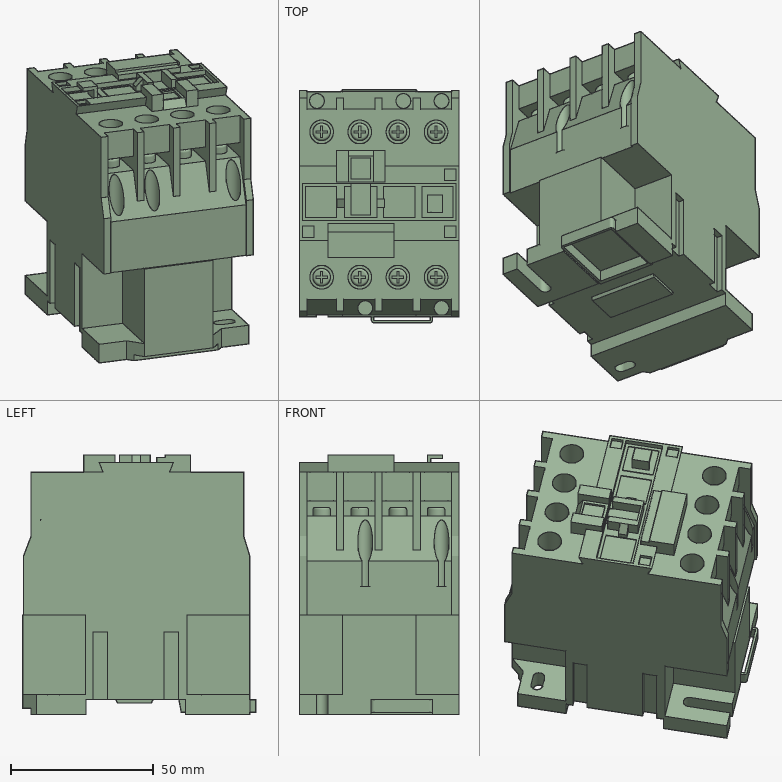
import cadquery as cq


WIDTH = 56.0
DEPTH = 79.7
HEIGHT = 91.0
HALF_WIDTH = WIDTH / 2
HALF_DEPTH = DEPTH / 2

RAIL_SEAT_Z = 5.2
FOOT_TOP_Z = 7.0
BASE_TOP_Z = 34.85
SHOULDER_Z = 85.0
DECK_Z = 88.4

BASE_CORE_HALF_DEPTH = 17.7
BASE_NECK_WIDTH = 25.7
REAR_FOOT_INNER_Y = 17.6
REAR_FOOT_OUTER_Y = 34.9
FRONT_FOOT_INNER_Y = -17.2
TAB_STEP_DEPTH = 2.9
TAB_STEP_HEIGHT = 2.2
MOUNT_SLOT_WIDTH = 4.1
FRONT_SLOT_X = -20.0
FRONT_SLOT_END_Y = -24.8
REAR_SLOT_CENTER = (-21.1, 29.0)
REAR_SLOT_LENGTH = 7.6
SIDE_GROOVE_WIDTH = 5.0
SIDE_GROOVE_DEPTH = 2.0
SIDE_GROOVE_TOP_Z = 28.85
SIDE_GROOVE_YS = (12.65, -12.3)
UNDERSIDE_PAD_Y = 0.6
UNDERSIDE_PAD_LENGTH = 13.1
UNDERSIDE_PAD_HEIGHT = 1.2

SIDE_WALL = 2.6
UPPER_FRONT_Y = -37.8
UPPER_REAR_Y = 36.95
WALL_BEND_UPPER_Z = 62.4
WALL_BEND_LOWER_Z = 55.5
PANEL_RECESS = 0.7
WALL_REAR_Y = 39.6
PANEL_TOP_Z = 53.8
RECESS_FRONT_Y = -33.7
RECESS_REAR_Y = 33.0
RIB_WIDTH = 2.55
RIB_XS = (-13.7, -0.3, 13.2)

TERMINAL_PITCH = 13.4
TERMINAL_FIRST_X = -20.2
FRONT_TERMINAL_Y = -25.9
REAR_TERMINAL_Y = 25.0
ACCESS_HOLE_DIAMETER = 8.3
CAVITY_FLOOR_Z = 69.6
CAVITY_ROOF_Z = 74.9
SCREW_DIAMETER = 6.2
SCREW_HEIGHT = 3.0
SCREW_EDGE_RADIUS = 0.9
DRIVE_LENGTH = 4.0
DRIVE_WIDTH = 0.7
DRIVE_DEPTH = 0.7
GUIDE_DIAMETER = 5.2
GUIDE_BOTTOM_Z = 44.95
GUIDE_SPOTS = ((-4.9, -36.8), (21.8, -36.8), (-21.8, 35.85), (8.5, 35.85), (21.8, 35.85))

DECK_HALF_DEPTH = 13.0
DECK_ROOT_HALF_DEPTH = 11.65
TROUGH_WIDTH = 53.9
TROUGH_FRONT_Y = -6.1
TROUGH_REAR_Y = 7.0
TROUGH_FLOOR_Z = 86.6
PANE_SIZE = 10.9
PANE_DEPTH = 0.3
PANE_Y = 0.5
PANE_XS = (-20.4, 7.0, 20.4)
DIMPLE_SIZE = 4.0
DIMPLE_DEPTH = 1.2
DIMPLE_SPOTS = ((-24.8, -10.0), (24.8, -10.0), (24.8, 10.0))

HOOK_X = 16.8
HOOK_LENGTH = 5.4
HOOK_THICKNESS = 1.3
HOOK_FRONT_Y = -3.2
HOOK_REAR_Y = 2.9

GUIDE_RAIL_LEFT_X = -15.0
GUIDE_RAIL_SPAN = 17.1
GUIDE_RAIL_WIDTH = 4.2
GUIDE_RAIL_FRONT_Y = 7.4
GUIDE_RAIL_REAR_Y = 18.5
GUIDE_FLOOR_Z = 87.9
GUIDE_RAMP_LENGTH = 1.8
LABEL_WIDTH = 6.7
LABEL_LENGTH = 7.4
LABEL_FRONT_Y = 8.55
LABEL_DEPTH = 0.7

COVER_LEFT_X = -18.0
COVER_WIDTH = 23.2
COVER_FRONT_Y = -19.0
COVER_STEP_Y = -10.1
COVER_REAR_Y = -7.1
COVER_STEP_DROP = 0.8

INDICATOR_LEFT_X = -12.1
INDICATOR_WIDTH = 11.3
INDICATOR_FRONT_Y = -4.9
INDICATOR_REAR_Y = 5.9
INDICATOR_SIDE = 2.3
INDICATOR_FRONT_WALL = 0.7
INDICATOR_FLOOR = 0.4
WEDGE_REACH = 2.7
WEDGE_WIDTH = 3.0
WEDGE_FOOT_Z = 88.3

CLIP_LEFT_X = -2.8
CLIP_WIDTH = 21.6
CLIP_FRONT_Y = -41.95
CLIP_TIP_Y = -14.9
CLIP_BOTTOM_Z = 0.7
CLIP_STRIP = 0.9
CLIP_CORNER = 1.1
CLIP_NOSE_SLOPE = 0.8


def block(x_range, y_range, z_range):
    """Box spanning the given (low, high) ranges."""
    x, y, z = x_range[0], y_range[0], z_range[0]
    size = (x_range[1] - x, y_range[1] - y, z_range[1] - z)
    return cq.Workplane("XY").box(*size, centered=False).translate((x, y, z))


def centered_block(width, y_range, z_range):
    """Box centred on X = 0."""
    return block((-width / 2, width / 2), y_range, z_range)


def side_profile(points, x_low, x_high):
    """Prism of a (y, z) outline running along X."""
    return cq.Workplane("YZ").polyline(points).close().extrude(x_high - x_low).translate((x_low, 0, 0))


def post(spot, diameter, z_low, z_high):
    """Vertical cylinder."""
    return cq.Workplane("XY", origin=(*spot, z_low)).circle(diameter / 2).extrude(z_high - z_low)



def base():
    neck = centered_block(BASE_NECK_WIDTH, (-HALF_DEPTH, HALF_DEPTH), (RAIL_SEAT_Z, BASE_TOP_Z))
    core = centered_block(WIDTH, (-BASE_CORE_HALF_DEPTH, BASE_CORE_HALF_DEPTH), (RAIL_SEAT_Z, BASE_TOP_Z))
    front_foot = centered_block(WIDTH, (-HALF_DEPTH, FRONT_FOOT_INNER_Y), (0, FOOT_TOP_Z))
    rear_foot = centered_block(WIDTH, (REAR_FOOT_INNER_Y, REAR_FOOT_OUTER_Y), (0, FOOT_TOP_Z))
    return neck.union(core).union(front_foot).union(rear_foot).union(rear_tab()).union(underside_pad())


def rear_tab():
    """Tab behind the rear foot, flaring at 45 degrees and stepped along its lower rear edge."""
    narrow = BASE_NECK_WIDTH / 2
    wide = narrow + HALF_DEPTH - REAR_FOOT_OUTER_Y
    outline = [
        (-narrow, HALF_DEPTH),
        (narrow, HALF_DEPTH),
        (wide, REAR_FOOT_OUTER_Y),
        (-wide, REAR_FOOT_OUTER_Y),
    ]
    tab = cq.Workplane("XY").polyline(outline).close().extrude(FOOT_TOP_Z)
    step = centered_block(WIDTH, (HALF_DEPTH - TAB_STEP_DEPTH, HALF_DEPTH), (0, TAB_STEP_HEIGHT))
    return tab.cut(step)


def underside_pad():
    """Low pad with sloping ends below the rail seat."""
    half = UNDERSIDE_PAD_LENGTH / 2
    drop = UNDERSIDE_PAD_HEIGHT
    outline = [
        (UNDERSIDE_PAD_Y - half, RAIL_SEAT_Z),
        (UNDERSIDE_PAD_Y + half, RAIL_SEAT_Z),
        (UNDERSIDE_PAD_Y + half - drop / 2, RAIL_SEAT_Z - drop),
        (UNDERSIDE_PAD_Y - half + drop / 2, RAIL_SEAT_Z - drop),
    ]
    return side_profile(outline, -BASE_NECK_WIDTH / 2, BASE_NECK_WIDTH / 2)


def mounting_slots():
    """Open slot in the front left foot and closed slot in the rear left foot."""
    half = MOUNT_SLOT_WIDTH / 2
    open_part = block(
        (FRONT_SLOT_X - half, FRONT_SLOT_X + half), (-HALF_DEPTH, FRONT_SLOT_END_Y), (0, FOOT_TOP_Z)
    )
    slot_end = post((FRONT_SLOT_X, FRONT_SLOT_END_Y), MOUNT_SLOT_WIDTH, 0, FOOT_TOP_Z)
    closed = (
        cq.Workplane("XY")
        .center(*REAR_SLOT_CENTER)
        .slot2D(REAR_SLOT_LENGTH, MOUNT_SLOT_WIDTH)
        .extrude(FOOT_TOP_Z)
    )
    return open_part.union(slot_end).union(closed)


def side_grooves():
    """Vertical grooves in both sides of the base."""
    grooves = cq.Workplane("XY")
    half = SIDE_GROOVE_WIDTH / 2
    for y in SIDE_GROOVE_YS:
        for x in (-HALF_WIDTH, HALF_WIDTH - SIDE_GROOVE_DEPTH):
            groove = block((x, x + SIDE_GROOVE_DEPTH), (y - half, y + half), (RAIL_SEAT_Z, SIDE_GROOVE_TOP_Z))
            grooves = grooves.union(groove)
    return grooves


def clip_pocket():
    """Pocket through the front foot, open below."""
    return block(
        (CLIP_LEFT_X, CLIP_LEFT_X + CLIP_WIDTH), (-HALF_DEPTH, FRONT_FOOT_INNER_Y), (0, RAIL_SEAT_Z)
    )


def upper_housing():
    """Terminal block: side walls and ribs around the recessed terminal ends."""
    inner_half = HALF_WIDTH - SIDE_WALL
    panel_y = HALF_DEPTH - PANEL_RECESS
    wall_outline = [
        (-HALF_DEPTH, BASE_TOP_Z),
        (WALL_REAR_Y, BASE_TOP_Z),
        (WALL_REAR_Y, WALL_BEND_LOWER_Z),
        (UPPER_REAR_Y, WALL_BEND_UPPER_Z),
        (UPPER_REAR_Y, SHOULDER_Z),
        (UPPER_FRONT_Y, SHOULDER_Z),
        (UPPER_FRONT_Y, WALL_BEND_UPPER_Z),
        (-HALF_DEPTH, WALL_BEND_LOWER_Z),
    ]
    inner_outline = [
        (-panel_y, BASE_TOP_Z),
        (panel_y, BASE_TOP_Z),
        (panel_y, PANEL_TOP_Z),
        (RECESS_REAR_Y, CAVITY_FLOOR_Z),
        (RECESS_REAR_Y, SHOULDER_Z),
        (RECESS_FRONT_Y, SHOULDER_Z),
        (RECESS_FRONT_Y, CAVITY_FLOOR_Z),
        (-panel_y, PANEL_TOP_Z),
    ]
    upper = side_profile(inner_outline, -inner_half, inner_half)
    upper = upper.union(side_profile(wall_outline, -HALF_WIDTH, -inner_half))
    upper = upper.union(side_profile(wall_outline, inner_half, HALF_WIDTH))
    for x in RIB_XS:
        rib = block(
            (x - RIB_WIDTH / 2, x + RIB_WIDTH / 2), (UPPER_FRONT_Y, UPPER_REAR_Y), (BASE_TOP_Z, SHOULDER_Z)
        )
        upper = upper.union(rib)
    return upper


def terminal_cavities():
    """One opening under the shoulder in each bay between the ribs, at both ends."""
    inner_half = HALF_WIDTH - SIDE_WALL
    bay_starts = [-inner_half] + [x + RIB_WIDTH / 2 for x in RIB_XS]
    bay_ends = [x - RIB_WIDTH / 2 for x in RIB_XS] + [inner_half]
    reach = ACCESS_HOLE_DIAMETER / 2
    cavities = cq.Workplane("XY")
    for bay in zip(bay_starts, bay_ends):
        for y_range in (
            (RECESS_FRONT_Y, FRONT_TERMINAL_Y + reach),
            (REAR_TERMINAL_Y - reach, RECESS_REAR_Y),
        ):
            cavities = cavities.union(block(bay, y_range, (CAVITY_FLOOR_Z, CAVITY_ROOF_Z)))
    return cavities


def terminal_spots():
    columns = [TERMINAL_FIRST_X + i * TERMINAL_PITCH for i in range(len(RIB_XS) + 1)]
    return [(x, y) for x in columns for y in (FRONT_TERMINAL_Y, REAR_TERMINAL_Y)]


def terminal_screw(spot):
    """Round screw head with a cross drive, standing on the cavity floor."""
    top = CAVITY_FLOOR_Z + SCREW_HEIGHT
    head = post(spot, SCREW_DIAMETER, CAVITY_FLOOR_Z, top).faces(">Z").edges().fillet(SCREW_EDGE_RADIUS)
    for angle in (0, 90):
        drive = cq.Workplane("XY").box(DRIVE_LENGTH, DRIVE_WIDTH, 2 * DRIVE_DEPTH)
        head = head.cut(drive.rotate((0, 0, 0), (0, 0, 1), angle).translate((*spot, top)))
    return head


def deck():
    """Dovetail deck with its trough, panes and corner dimples."""
    outline = [
        (-DECK_ROOT_HALF_DEPTH, SHOULDER_Z),
        (DECK_ROOT_HALF_DEPTH, SHOULDER_Z),
        (DECK_HALF_DEPTH, DECK_Z),
        (-DECK_HALF_DEPTH, DECK_Z),
    ]
    body = side_profile(outline, -HALF_WIDTH, HALF_WIDTH)
    body = body.cut(centered_block(TROUGH_WIDTH, (TROUGH_FRONT_Y, TROUGH_REAR_Y), (TROUGH_FLOOR_Z, DECK_Z)))
    for x in PANE_XS:
        pane = cq.Workplane("XY").box(PANE_SIZE, PANE_SIZE, 2 * PANE_DEPTH)
        body = body.cut(pane.translate((x, PANE_Y, TROUGH_FLOOR_Z)))
    for spot in DIMPLE_SPOTS:
        dimple = cq.Workplane("XY").box(DIMPLE_SIZE, DIMPLE_SIZE, 2 * DIMPLE_DEPTH)
        body = body.cut(dimple.translate((*spot, DECK_Z)))
    return body


def hook():
    """L-shaped hook rising from the right-hand pane."""
    y_range = (HOOK_FRONT_Y, HOOK_REAR_Y)
    stem = block((HOOK_X, HOOK_X + HOOK_THICKNESS), y_range, (TROUGH_FLOOR_Z - PANE_DEPTH, HEIGHT))
    lip = block((HOOK_X, HOOK_X + HOOK_LENGTH), y_range, (HEIGHT - HOOK_THICKNESS, HEIGHT))
    return stem.union(lip)


def guide_block():
    """Rear guide: two rails with a ramped, label-recessed floor between them."""
    left = GUIDE_RAIL_LEFT_X
    right = left + GUIDE_RAIL_SPAN
    floor_left = left + GUIDE_RAIL_WIDTH
    floor_right = right - GUIDE_RAIL_WIDTH
    rails = block((left, right), (GUIDE_RAIL_FRONT_Y, GUIDE_RAIL_REAR_Y), (SHOULDER_Z, HEIGHT))
    channel_outline = [
        (GUIDE_RAIL_FRONT_Y, GUIDE_FLOOR_Z),
        (GUIDE_RAIL_REAR_Y - GUIDE_RAMP_LENGTH, GUIDE_FLOOR_Z),
        (GUIDE_RAIL_REAR_Y, SHOULDER_Z),
        (GUIDE_RAIL_REAR_Y, HEIGHT),
        (GUIDE_RAIL_FRONT_Y, HEIGHT),
    ]
    channel = side_profile(channel_outline, floor_left, floor_right)
    middle = (left + right) / 2
    label = block(
        (middle - LABEL_WIDTH / 2, middle + LABEL_WIDTH / 2),
        (LABEL_FRONT_Y, LABEL_FRONT_Y + LABEL_LENGTH),
        (GUIDE_FLOOR_Z - LABEL_DEPTH, GUIDE_FLOOR_Z),
    )
    return rails, channel.union(label)


def cover():
    """Raised front cover with a lower strip along its rear edge."""
    outline = [
        (COVER_FRONT_Y, SHOULDER_Z),
        (COVER_REAR_Y, SHOULDER_Z),
        (COVER_REAR_Y, HEIGHT - COVER_STEP_DROP),
        (COVER_STEP_Y, HEIGHT - COVER_STEP_DROP),
        (COVER_STEP_Y, HEIGHT),
        (COVER_FRONT_Y, HEIGHT),
    ]
    return side_profile(outline, COVER_LEFT_X, COVER_LEFT_X + COVER_WIDTH)


def make_housing():
    rails, channel = guide_block()
    body = base().cut(mounting_slots()).cut(side_grooves()).cut(clip_pocket())
    body = body.union(upper_housing()).cut(terminal_cavities())
    for spot in terminal_spots():
        body = body.cut(post(spot, ACCESS_HOLE_DIAMETER, CAVITY_FLOOR_Z, SHOULDER_Z))
    for spot in GUIDE_SPOTS:
        body = body.cut(post(spot, GUIDE_DIAMETER, GUIDE_BOTTOM_Z, CAVITY_FLOOR_Z))
    for spot in terminal_spots():
        body = body.union(terminal_screw(spot))
    return body.union(deck()).union(hook()).union(cover()).union(rails).cut(channel)



def make_indicator():
    """U-shaped slide whose floor reaches the rear trough wall, with a ramped wedge on each side."""
    left = INDICATOR_LEFT_X
    right = left + INDICATOR_WIDTH
    hollow_width = (left + INDICATOR_SIDE, right - INDICATOR_SIDE)
    hollow_front_y = INDICATOR_FRONT_Y + INDICATOR_FRONT_WALL
    floor_z = TROUGH_FLOOR_Z + INDICATOR_FLOOR
    slide = block((left, right), (INDICATOR_FRONT_Y, INDICATOR_REAR_Y), (TROUGH_FLOOR_Z, HEIGHT))
    hollow = block(hollow_width, (hollow_front_y, INDICATOR_REAR_Y), (floor_z, HEIGHT))
    tongue = block(hollow_width, (hollow_front_y, TROUGH_REAR_Y), (TROUGH_FLOOR_Z, floor_z))
    wedge_outline = [
        (left - WEDGE_REACH, TROUGH_FLOOR_Z),
        (right + WEDGE_REACH, TROUGH_FLOOR_Z),
        (right + WEDGE_REACH, WEDGE_FOOT_Z),
        (right, HEIGHT),
        (left, HEIGHT),
        (left - WEDGE_REACH, WEDGE_FOOT_Z),
    ]
    wedges = cq.Workplane("XZ").polyline(wedge_outline).close().extrude(WEDGE_WIDTH / 2, both=True)
    return slide.union(wedges).cut(hollow).union(tongue)


def make_clip():
    """Closed strip frame with rounded front corners and a sloping nose at the rear."""
    right = CLIP_LEFT_X + CLIP_WIDTH
    outline = [
        (CLIP_FRONT_Y, CLIP_BOTTOM_Z),
        (CLIP_TIP_Y - CLIP_NOSE_SLOPE, CLIP_BOTTOM_Z),
        (CLIP_TIP_Y, RAIL_SEAT_Z),
        (CLIP_FRONT_Y, RAIL_SEAT_Z),
    ]
    frame = side_profile(outline, CLIP_LEFT_X, right).edges("|Z and <Y").fillet(CLIP_CORNER)
    opening = block(
        (CLIP_LEFT_X + CLIP_STRIP, right - CLIP_STRIP),
        (CLIP_FRONT_Y + CLIP_STRIP, FRONT_FOOT_INNER_Y),
        (CLIP_BOTTOM_Z, RAIL_SEAT_Z),
    )
    return frame.cut(opening)


housing = make_housing()
indicator = make_indicator()
clip = make_clip()

result = cq.Compound.makeCompound([housing.val(), indicator.val(), clip.val()])